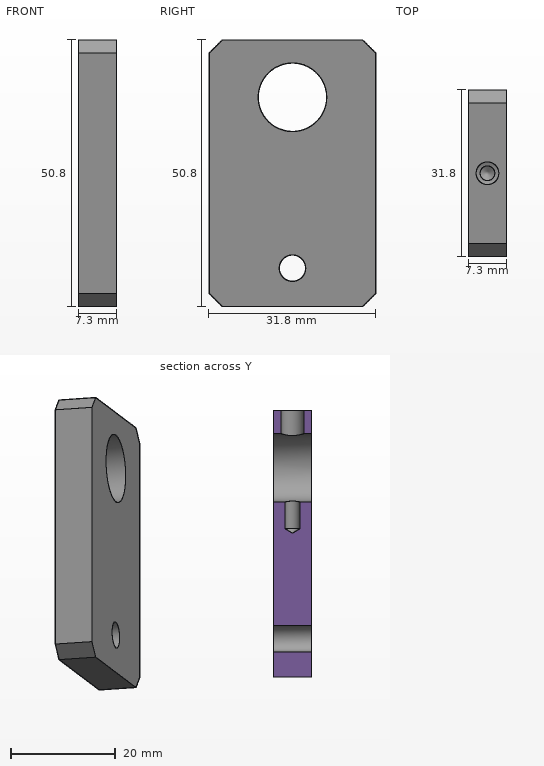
import cadquery as cq
import math

thickness = 7.3
width = 31.75
height = 50.8
corner_chamfer = 2.5

bore_diameter = 13.0
bore_z = height / 2 - 10.9
small_hole_diameter = 5.0
small_hole_z = -height / 2 + 7.3

upper_hole_diameter = 4.3
lower_hole_diameter = 2.8
lower_hole_depth = 5.1
drill_point_angle = 118.0


def cross_hole(diameter, z):
    """Cylinder along X through the whole plate."""
    return (
        cq.Workplane("YZ", origin=(-thickness / 2, 0, z))
        .circle(diameter / 2)
        .extrude(thickness)
    )


def upper_hole():
    """Vertical hole from the top edge into the bore."""
    return (
        cq.Workplane("XY", origin=(0, 0, bore_z))
        .circle(upper_hole_diameter / 2)
        .extrude(height / 2 - bore_z)
    )


def lower_hole():
    """Blind drilled hole going down from the bore, with a conical end."""
    radius = lower_hole_diameter / 2
    shoulder_z = bore_z - bore_diameter / 2 - lower_hole_depth
    tip_z = shoulder_z - radius / math.tan(math.radians(drill_point_angle / 2))
    return (
        cq.Workplane("XZ")
        .moveTo(0, bore_z)
        .lineTo(radius, bore_z)
        .lineTo(radius, shoulder_z)
        .lineTo(0, tip_z)
        .close()
        .revolve(360, (0, 0, 0), (0, 1, 0))
    )


plate = cq.Workplane("XY").box(thickness, width, height).edges("|X").chamfer(corner_chamfer)

result = (
    plate
    .cut(cross_hole(bore_diameter, bore_z))
    .cut(cross_hole(small_hole_diameter, small_hole_z))
    .cut(upper_hole())
    .cut(lower_hole())
)